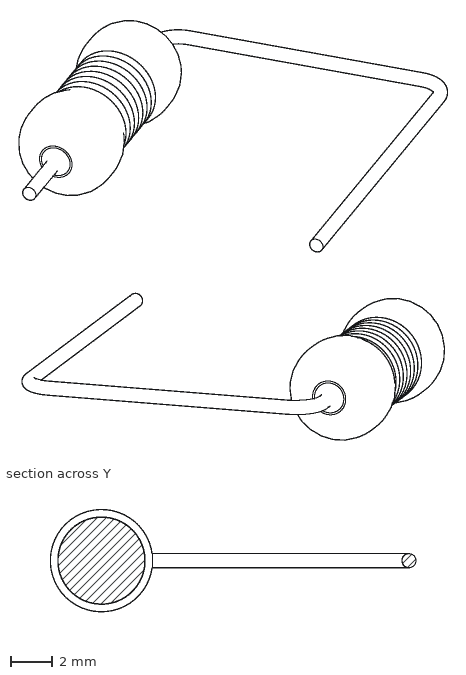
import cadquery as cq
import math


body_length = 12.0
cap_radius = 2.5
cap_corner_radius = 1.75
cap_straight_length = 0.75
sleeve_length = 4.0
sleeve_radius = 4.25 / 2

band_radius = 4.27 / 2
section_count = 7
section_width = sleeve_length / section_count

lead_radius = 0.7 / 2
lead_pitch = 15.0
lead_bend_radius = 1.4
collar_fillet_radius = 0.5
straight_before_bend = 1.0
front_lead_length = 3.6

body_end = body_length / 2
cap_outer_edge = body_end - cap_corner_radius
cap_inner_edge = cap_outer_edge - cap_straight_length
sleeve_end = sleeve_length / 2
lead_tip_y = -body_end - front_lead_length
bend_start_y = body_end + straight_before_bend
cross_lead_y = bend_start_y + lead_bend_radius

neck_convex_radius = 1.75
neck_length = cap_inner_edge - sleeve_end
neck_drop = cap_radius - sleeve_radius
neck_radius_sum = (neck_length**2 + neck_drop**2) / (2 * neck_drop)
neck_concave_radius = neck_radius_sum - neck_convex_radius
neck_angle = math.asin(neck_length / neck_radius_sum)


def arc_point(center, radius, angle):
    """Point on a circle, with the angle measured from the radial (+X) direction."""
    return (
        center[0] + radius * math.cos(angle),
        center[1] + radius * math.sin(angle),
    )


def make_cap():
    """Revolved +Y cap, from the end of the sleeve to the end of the lead collar."""
    convex_center = (cap_radius - neck_convex_radius, cap_inner_edge)
    concave_center = (sleeve_radius + neck_concave_radius, sleeve_end)
    corner_center = (cap_radius - cap_corner_radius, cap_outer_edge)
    collar_center = (lead_radius + collar_fillet_radius, body_end + collar_fillet_radius)
    neck_middle = arc_point(convex_center, neck_convex_radius, -neck_angle)
    profile = (
        cq.Workplane("XY")
        .moveTo(0, sleeve_end)
        .lineTo(sleeve_radius, sleeve_end)
        .threePointArc(
            arc_point(concave_center, neck_concave_radius, math.pi - neck_angle / 2),
            neck_middle,
        )
        .threePointArc(
            arc_point(convex_center, neck_convex_radius, -neck_angle / 2),
            (cap_radius, cap_inner_edge),
        )
        .lineTo(cap_radius, cap_outer_edge)
        .threePointArc(
            arc_point(corner_center, cap_corner_radius, math.pi / 4),
            (corner_center[0], body_end),
        )
        .lineTo(collar_center[0], body_end)
        .threePointArc(
            arc_point(collar_center, collar_fillet_radius, math.pi * 5 / 4),
            (lead_radius, collar_center[1]),
        )
        .lineTo(0, collar_center[1])
        .close()
    )
    return profile.revolve(360, (0, 0), (0, 1))


def make_disc(start_y, radius, length):
    """Cylinder on the body axis, running towards +Y from start_y."""
    return cq.Workplane("XZ", origin=(0, start_y, 0)).circle(radius).extrude(-length)


def make_body():
    """Banded sleeve between two mirrored caps."""
    cap = make_cap()
    body = make_disc(-sleeve_end, sleeve_radius, sleeve_length)
    body = body.union(cap).union(cap.mirror("XZ"))
    for section_index in range(0, section_count, 2):
        band_start_y = -sleeve_end + section_index * section_width
        body = body.union(make_disc(band_start_y, band_radius, section_width))
    return body


def make_return_lead():
    """Lead leaving the +Y end, crossing over and running back beside the body."""
    cross_start_x = lead_bend_radius
    cross_end_x = lead_pitch - lead_bend_radius
    bend_offset = lead_bend_radius * math.cos(math.pi / 4)
    path = (
        cq.Workplane("XY")
        .moveTo(0, 0)
        .lineTo(0, bend_start_y)
        .threePointArc(
            (cross_start_x - bend_offset, bend_start_y + bend_offset),
            (cross_start_x, cross_lead_y),
        )
        .lineTo(cross_end_x, cross_lead_y)
        .threePointArc(
            (cross_end_x + bend_offset, bend_start_y + bend_offset),
            (lead_pitch, bend_start_y),
        )
        .lineTo(lead_pitch, lead_tip_y)
    )
    return cq.Workplane("XZ").circle(lead_radius).sweep(path)


front_lead = make_disc(lead_tip_y, lead_radius, -lead_tip_y)
result = make_body().union(front_lead).union(make_return_lead())